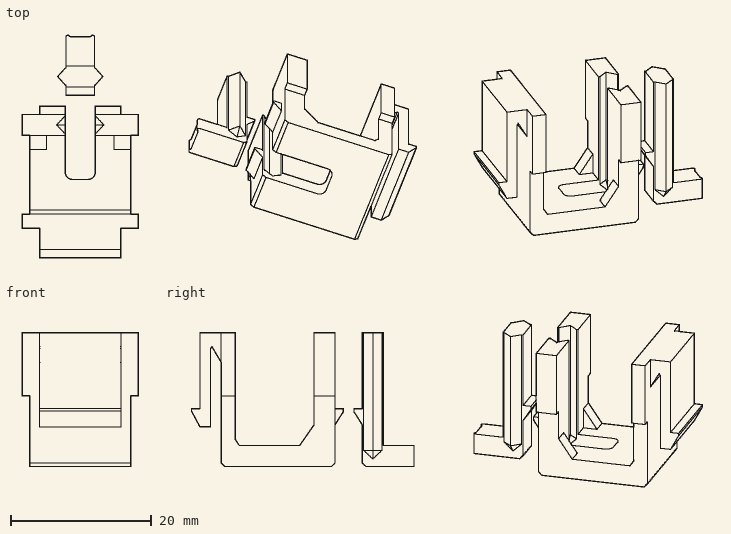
import cadquery as cq
import math

height = 19.0
floor_thickness = 3.0
base_chamfer = 0.5
wall_rear = 20.38
wall_thickness = 3.0
barb_length = 1.17
barb_top = 8.22
barb_lip = 0.47
barb_bottom = 5.9

body_width = 14.38
wing_width = 16.5
wing_bottom = 10.02
clip_width = 11.53
front_face = 4.2
front_wall_thickness = 2.02
front_bevel_run = 0.57
front_bevel_rise = 0.9
gusset_width = 2.43
gusset_run = 2.02
gusset_top = barb_bottom

clip_outer = 1.2
clip_thickness = 1.52
clip_bottom = 5.62
clip_lip = 0.35
clip_root_bottom = 14.8
clip_gap_top = 17.0
clip_gap_relief_y = 0.2
clip_gap_relief_z = 0.3

slot_width = 4.25
slot_end = 11.15
slot_corner_radius = 1.0
groove_depth = 1.23
groove_half_width = 1.3

insert_width = 4.1
insert_front = 24.25
foot_rear = 31.6
foot_recess_depth = 0.2
foot_recess_half_width = 1.65
foot_recess_arc_radius = 0.38
foot_corner_radius = 0.25
rib_depth = 1.17
rib_half_width = 1.3

rib_tip_z = 1.07
rib_taper_height = 1.23

wall_front = wall_rear - wall_thickness
front_wall_inner = front_face + front_wall_thickness


def across(points, width):
    """Side profile of (y, z) points, extruded symmetrically along X."""
    return cq.Workplane("YZ").polyline(points).close().extrude(width / 2, both=True)


def block(width, y_start, y_end, z_start, z_end):
    """Box centred on X."""
    profile = [(y_start, z_start), (y_end, z_start), (y_end, z_end), (y_start, z_end)]
    return across(profile, width)


def barb(width, root, direction):
    """Catch on a wall at y = root, pointing along direction (+1 or -1) in Y."""
    tip = root + direction * barb_length
    profile = [(root, barb_bottom), (tip, barb_top - barb_lip), (tip, barb_top), (root, barb_top)]
    return across(profile, width)


def pointed_prism(width, depth, half_width, y_centre):
    """Vertical bar with a V ridge on both X sides, each ridge tapering to a point at its foot."""
    side = width / 2
    taper_top = rib_tip_z + rib_taper_height
    section = [
        (side, y_centre - half_width),
        (side + depth, y_centre),
        (side, y_centre + half_width),
        (-side, y_centre + half_width),
        (-side - depth, y_centre),
        (-side, y_centre - half_width),
    ]
    bar = (
        cq.Workplane("XY").workplane(offset=taper_top)
        .polyline(section).close().extrude(height - taper_top)
    )
    for direction in (1, -1):
        bar = bar.union(ridge_foot(direction * side, direction * depth, half_width, y_centre, taper_top))
    return bar


def ridge_foot(side, depth, half_width, y_centre, taper_top):
    """Tetrahedron that closes the lower end of one V ridge."""
    near = cq.Vector(side, y_centre - half_width, taper_top)
    far = cq.Vector(side, y_centre + half_width, taper_top)
    ridge = cq.Vector(side + depth, y_centre, taper_top)
    tip = cq.Vector(side, y_centre, rib_tip_z)
    triangles = [(near, far, ridge), (near, far, tip), (near, ridge, tip), (far, ridge, tip)]
    faces = [cq.Face.makeFromWires(cq.Wire.makePolygon(t, close=True)) for t in triangles]
    return cq.Workplane(cq.Solid.makeSolid(cq.Shell.makeShell(faces)))


def housing_body():
    """U-shaped channel with a bevel behind the front wall and bevelled bottom edges."""
    return across([
        (front_face + base_chamfer, 0),
        (wall_rear - base_chamfer, 0),
        (wall_rear, base_chamfer),
        (wall_rear, height),
        (wall_front, height),
        (wall_front, floor_thickness),
        (front_wall_inner + front_bevel_run, floor_thickness),
        (front_wall_inner, floor_thickness + front_bevel_rise),
        (front_wall_inner, height),
        (front_face, height),
        (front_face, base_chamfer),
    ], body_width)


def wings():
    """Wider upper parts of the two walls."""
    front = block(wing_width, front_face, front_wall_inner, wing_bottom, height)
    rear = block(wing_width, wall_front, wall_rear, wing_bottom, height)
    return front.union(rear)


def gussets():
    """Sloped braces between the floor and the outer ends of the rear wall."""
    profile = [
        (wall_front, floor_thickness),
        (wall_front, gusset_top),
        (wall_front - gusset_run, floor_thickness),
    ]
    middle_gap = block(body_width - 2 * gusset_width, wall_front - gusset_run, wall_front,
                       floor_thickness, gusset_top)
    return across(profile, body_width).cut(middle_gap)


def clip():
    """Flexible leaf hanging from the top of the front wall, with a catch at its lower end."""
    clip_inner = clip_outer + clip_thickness
    return across([
        (front_face, height),
        (clip_outer, height),
        (clip_outer, barb_top),
        (0, barb_top),
        (0, barb_top - clip_lip),
        (clip_outer, clip_bottom),
        (clip_inner, clip_bottom),
        (clip_inner, clip_gap_top - clip_gap_relief_z),
        (clip_inner + clip_gap_relief_y, clip_gap_top),
        (front_face, clip_root_bottom),
    ], clip_width)


def slot():
    """Open slot through the rear wall and floor, rounded at its closed end."""
    slot_mouth = wall_rear + barb_length
    return (
        block(slot_width, slot_end, slot_mouth, 0, height)
        .edges("|Z and <Y").fillet(slot_corner_radius)
    )


def make_housing():
    groove_centre = (wall_front + wall_rear) / 2
    return (
        housing_body()
        .union(wings())
        .union(gussets())
        .union(clip())
        .union(barb(clip_width, wall_rear, 1))
        .cut(slot())
        .cut(pointed_prism(slot_width, groove_depth, groove_half_width, groove_centre))
    )


def insert_foot():
    """Foot plate whose rear end has a shallow recess with rounded ends."""
    side = insert_width / 2
    recess_y = foot_rear - foot_recess_depth
    arc_run = math.sqrt(foot_recess_arc_radius ** 2 - (foot_recess_arc_radius - foot_recess_depth) ** 2)
    flat_half_width = foot_recess_half_width - arc_run
    corner_start = side - foot_corner_radius
    return (
        cq.Workplane("XY")
        .moveTo(side, insert_front)
        .lineTo(side, foot_rear - foot_corner_radius)
        .radiusArc((corner_start, foot_rear), -foot_corner_radius)
        .lineTo(foot_recess_half_width, foot_rear)
        .radiusArc((flat_half_width, recess_y), foot_recess_arc_radius)
        .lineTo(-flat_half_width, recess_y)
        .radiusArc((-foot_recess_half_width, foot_rear), foot_recess_arc_radius)
        .lineTo(-corner_start, foot_rear)
        .radiusArc((-side, foot_rear - foot_corner_radius), -foot_corner_radius)
        .lineTo(-side, insert_front)
        .close()
        .extrude(floor_thickness)
        .edges("<Y and <Z").chamfer(base_chamfer)
    )


def make_insert():
    upright_rear = insert_front + wall_thickness
    rib_centre = insert_front + wall_thickness / 2
    return (
        insert_foot()
        .union(block(insert_width, insert_front, upright_rear, floor_thickness, height))
        .union(barb(insert_width, insert_front, -1))
        .union(pointed_prism(insert_width, rib_depth, rib_half_width, rib_centre))
    )


housing = make_housing()
insert = make_insert()

result = cq.Compound.makeCompound([housing.val(), insert.val()])